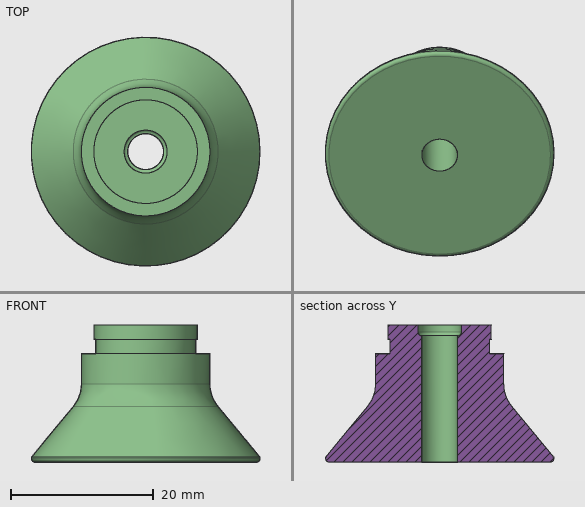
import cadquery as cq
import math

height = 19.2
rim_radius = 32.0 / 2

lip_radius = 14.5 / 2
neck_radius = 14.0 / 2
collar_radius = 18.0 / 2
lip_height = 2.0
neck_height = 2.0
collar_height = 4.22

blend_radius = 5.0
cone_angle = math.radians(39.6)
rim_round = 0.5

bore_radius = 5.0 / 2
counterbore_radius = 6.0 / 2
counterbore_wall_depth = 1.0

lip_bottom = height - lip_height
collar_top = lip_bottom - neck_height
collar_bottom = collar_top - collar_height


def blend_point(angle):
    """Point on the concave blend, turned by angle from its start on the collar."""
    return (
        collar_radius + blend_radius * (1 - math.cos(angle)),
        collar_bottom - blend_radius * math.sin(angle),
    )


def make_body():
    """Revolve the outer outline, given as (radius, height), about Z."""
    blend_end = blend_point(cone_angle)
    rim_top = blend_end[1] - (rim_radius - blend_end[0]) / math.tan(cone_angle)
    outline = (
        cq.Workplane("XZ")
        .moveTo(0, height)
        .lineTo(lip_radius, height)
        .lineTo(lip_radius, lip_bottom)
        .lineTo(neck_radius, lip_bottom)
        .lineTo(neck_radius, collar_top)
        .lineTo(collar_radius, collar_top)
        .lineTo(collar_radius, collar_bottom)
        .threePointArc(blend_point(cone_angle / 2), blend_end)
        .lineTo(rim_radius, rim_top)
        .lineTo(rim_radius, 0)
        .lineTo(0, 0)
        .close()
    )
    return outline.revolve(360, (0, 0), (0, 1))


def make_bore():
    """Through bore with a counterbore whose floor is a concave quarter round."""
    floor_round = counterbore_radius - bore_radius
    wall_bottom = height - counterbore_wall_depth
    floor_height = wall_bottom - floor_round
    arc_middle = (
        bore_radius + floor_round * math.cos(math.pi / 4),
        wall_bottom - floor_round * math.sin(math.pi / 4),
    )
    outline = (
        cq.Workplane("XZ")
        .moveTo(0, 0)
        .lineTo(bore_radius, 0)
        .lineTo(bore_radius, floor_height)
        .threePointArc(arc_middle, (counterbore_radius, wall_bottom))
        .lineTo(counterbore_radius, height)
        .lineTo(0, height)
        .close()
    )
    return outline.revolve(360, (0, 0), (0, 1))


body = make_body().faces("<Z").edges().fillet(rim_round)

result = body.cut(make_bore())